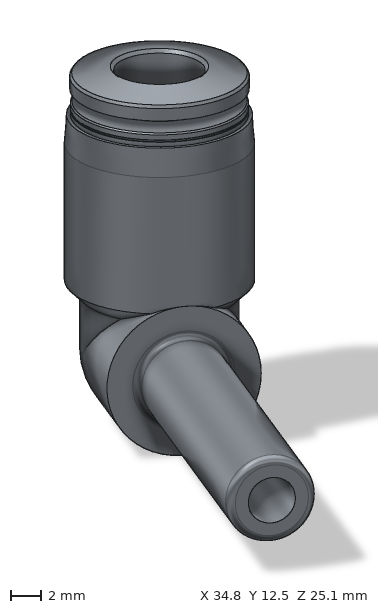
import cadquery as cq

total_length = 34.75
total_height = 25.05
body_radius = 12.5 / 2
elbow_radius = 10.5 / 2
stem_radius = 6.0 / 2
passage_radius = 3.2 / 2
axis_x = body_radius
axis_z = elbow_radius
elbow_face_x = 2 * body_radius

cone_bottom_z = 9.05
body_bottom_z = cone_bottom_z + body_radius - elbow_radius
taper_start_z = 19.67
body_top_z = 21.7
body_top_radius = 6.1

ring_radius = 11.7 / 2
ring_top_z = 22.62
ring_groove_radius = 5.77
ring_groove_bottom_z = 22.0
ring_groove_top_z = 22.15
ring_edge_chamfer = 0.1

neck_radius = 7.4 / 2
neck_fillet = 0.38
collar_radius = 11.8 / 2
collar_bottom_z = 23.53
collar_rim_z = 24.4
collar_edge_z = 24.6
collar_edge_radius = 5.77

bore_radius = 6.0 / 2
bore_mouth_radius = 3.23
bore_floor_z = body_bottom_z
bore_mouth_depth = 0.25

stem_root_fillet = 0.5
stem_tip_fillet = 0.52


def make_socket():
    """Revolve the outer profile of the socket, ring and release collar."""
    neck_fillet_z = collar_bottom_z - neck_fillet
    profile = (
        cq.Workplane("XZ")
        .moveTo(0, axis_z)
        .lineTo(elbow_radius, axis_z)
        .lineTo(elbow_radius, cone_bottom_z)
        .lineTo(body_radius, body_bottom_z)
        .lineTo(body_radius, taper_start_z)
        .lineTo(body_top_radius, body_top_z)
        .lineTo(ring_radius, body_top_z)
        .lineTo(ring_radius, ring_groove_bottom_z)
        .lineTo(ring_groove_radius, ring_groove_bottom_z)
        .lineTo(ring_groove_radius, ring_groove_top_z)
        .lineTo(ring_radius, ring_groove_top_z)
        .lineTo(ring_radius, ring_top_z - ring_edge_chamfer)
        .lineTo(ring_radius - ring_edge_chamfer, ring_top_z)
        .lineTo(neck_radius, ring_top_z)
        .lineTo(neck_radius, neck_fillet_z)
        .radiusArc((neck_radius + neck_fillet, collar_bottom_z), neck_fillet)
        .lineTo(collar_radius, collar_bottom_z)
        .lineTo(collar_radius, collar_rim_z)
        .lineTo(collar_edge_radius, collar_edge_z)
        .lineTo(bore_mouth_radius, total_height)
        .lineTo(0, total_height)
        .close()
    )
    return profile.revolve(360, (0, 0, 0), (0, 1, 0)).translate((axis_x, 0, 0))


def cylinder_along_x(radius, start_x, end_x):
    """Horizontal cylinder on the stem axis."""
    plane = cq.Workplane("YZ", origin=(start_x, 0, axis_z))
    return plane.circle(radius).extrude(end_x - start_x)


def ball(radius):
    """Sphere where the socket and stem axes meet."""
    return cq.Workplane("XY", origin=(axis_x, 0, axis_z)).sphere(radius)


def make_stem():
    """Revolve the stem with a flared root and a rounded tip."""
    root_x = elbow_face_x
    tip_radius = stem_radius - stem_tip_fillet
    profile = (
        cq.Workplane("XY")
        .moveTo(axis_x, 0)
        .lineTo(axis_x, stem_radius)
        .lineTo(root_x, stem_radius)
        .lineTo(root_x, stem_radius + stem_root_fillet)
        .radiusArc((root_x + stem_root_fillet, stem_radius), -stem_root_fillet)
        .lineTo(total_length - stem_tip_fillet, stem_radius)
        .radiusArc((total_length, tip_radius), stem_tip_fillet)
        .lineTo(total_length, 0)
        .close()
    )
    return profile.revolve(360, (0, 0, 0), (1, 0, 0)).translate((0, 0, axis_z))


def make_bore():
    """Tube bore with a flared mouth."""
    mouth_start_z = total_height - bore_mouth_depth
    profile = (
        cq.Workplane("XZ")
        .moveTo(0, bore_floor_z)
        .lineTo(bore_radius, bore_floor_z)
        .lineTo(bore_radius, mouth_start_z)
        .lineTo(bore_mouth_radius, total_height)
        .lineTo(0, total_height)
        .close()
    )
    return profile.revolve(360, (0, 0, 0), (0, 1, 0)).translate((axis_x, 0, 0))


def make_passage():
    """Flow passage turning from the socket through the stem."""
    drop = (
        cq.Workplane("XY", origin=(axis_x, 0, axis_z))
        .circle(passage_radius)
        .extrude(bore_floor_z - axis_z)
    )
    run = cylinder_along_x(passage_radius, axis_x, total_length)
    return drop.union(run).union(ball(passage_radius))


elbow = ball(elbow_radius).union(cylinder_along_x(elbow_radius, axis_x, elbow_face_x))
outer = make_socket().union(elbow).union(make_stem())
result = outer.cut(make_bore()).cut(make_passage())